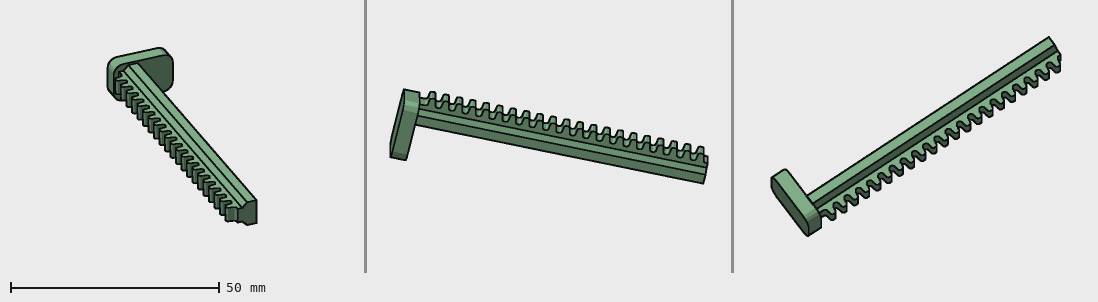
import cadquery as cq
import math

total_length = 75.0

head_thickness = 3.75
head_width = 15.5
head_height = 10.1
head_corner_radius = 2.55

head_front = 0.8
bar_back = 7.1
bar_front = 3.4
bar_bottom = 3.15
bar_top = 9.5
bevel = 1.3

tooth_count = 21
tooth_pitch = 3.3
first_tooth_x = 6.9
tooth_depth = 2.2
tooth_mid_width = tooth_pitch / 2
flank_angle = 9.0
tip_radius = 0.5
root_radius = 0.7

margin = 0.1

rack_bottom = bar_bottom + bevel
rack_top = bar_top - bevel


def make_head():
    """Plate with rounded corners, its thickness along X."""
    return (
        cq.Workplane("XY")
        .box(head_thickness, head_width, head_height, centered=False)
        .translate((0, head_front, 0))
        .edges("|X")
        .fillet(head_corner_radius)
    )


def make_bar():
    """Straight bar with its two front edges bevelled."""
    profile = [
        (bar_back, bar_bottom),
        (bar_front + bevel, bar_bottom),
        (bar_front, rack_bottom),
        (bar_front, rack_top),
        (bar_front + bevel, bar_top),
        (bar_back, bar_top),
    ]
    return cq.Workplane("YZ").polyline(profile).close().extrude(total_length)


def make_rack():
    """Strip in front of the bar, carrying the row of rounded teeth."""
    flank_run = tooth_depth / 2 * math.tan(math.radians(flank_angle))
    root_half = tooth_mid_width / 2 + flank_run
    tip_half = tooth_mid_width / 2 - flank_run

    outline = [(0, bar_front), (0, tooth_depth)]
    for index in range(tooth_count):
        center = first_tooth_x + index * tooth_pitch
        outline += [
            (center - root_half, tooth_depth),
            (center - tip_half, 0),
            (center + tip_half, 0),
            (center + root_half, tooth_depth),
        ]
    outline += [(total_length, tooth_depth), (total_length, bar_front)]

    rack = (
        cq.Workplane("XY", origin=(0, 0, rack_bottom))
        .polyline(outline)
        .close()
        .extrude(rack_top - rack_bottom)
    )

    tip_zone = cq.selectors.BoxSelector(
        (0, -margin, 0), (total_length, margin, head_height)
    )
    root_zone = cq.selectors.BoxSelector(
        (margin, tooth_depth - margin, 0),
        (total_length - margin, tooth_depth + margin, head_height),
    )
    rack = rack.edges("|Z").edges(root_zone).fillet(root_radius)
    return rack.edges("|Z").edges(tip_zone).fillet(tip_radius)


result = make_head().union(make_bar()).union(make_rack())